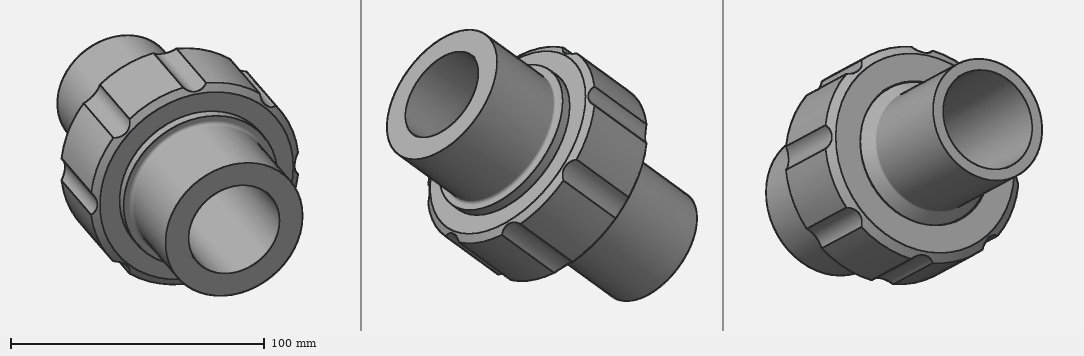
import cadquery as cq
import math

LENGTH = 122.9

NUT_START = 48.8
NUT_END = 84.0
NUT_RADIUS = 44.5
NUT_START_FACE_RADIUS = 40.9
NUT_END_FACE_RADIUS = 41.3
START_CHAMFER = 2.3
END_CHAMFER = 2.0
LIP_LENGTH = 6.5
LIP_BORE = 59.2 / 2
NUT_BORE = 63.2 / 2

GROOVE_COUNT = 8
GROOVE_RADIUS = 6.9
GROOVE_FLOOR = 42.2

TAIL_RADIUS = 50.0 / 2
TAIL_BORE = 40.8 / 2
TAIL_CONE_START = 44.3
TAIL_BLEND_LENGTH = 0.7
TAIL_BLEND_RISE = 0.31
TAIL_SHOULDER_RADIUS = 58.8 / 2
TAIL_CONE_END = 49.4
FLANGE_RADIUS = 62.5 / 2
FLANGE_LENGTH = 4.9
FLANGE_START = NUT_START + LIP_LENGTH
JOINT = FLANGE_START + FLANGE_LENGTH

END_RADIUS = 58.6 / 2
END_BORE = 38.8 / 2
COLLAR_RADIUS = 65.8 / 2
COLLAR_END = 88.1
COLLAR_BLEND_RADIUS = 1.5


def revolve_about_x(profile):
    """Turn a closed (x, radius) profile around the X axis."""
    return profile.close().revolve(360, (0, 0, 0), (1, 0, 0))


def make_tail_pipe():
    blend_end = TAIL_CONE_START + TAIL_BLEND_LENGTH
    blend_end_radius = TAIL_RADIUS + TAIL_BLEND_RISE
    profile = (
        cq.Workplane("XY")
        .moveTo(0, TAIL_BORE)
        .lineTo(0, TAIL_RADIUS)
        .lineTo(TAIL_CONE_START, TAIL_RADIUS)
        .tangentArcPoint((blend_end, blend_end_radius), relative=False)
        .lineTo(TAIL_CONE_END, TAIL_SHOULDER_RADIUS)
        .lineTo(FLANGE_START, TAIL_SHOULDER_RADIUS)
        .lineTo(FLANGE_START, FLANGE_RADIUS)
        .lineTo(JOINT, FLANGE_RADIUS)
        .lineTo(JOINT, TAIL_BORE)
    )
    return revolve_about_x(profile)


def make_end_pipe():
    profile = (
        cq.Workplane("XY")
        .moveTo(JOINT, END_BORE)
        .lineTo(JOINT, NUT_BORE)
        .lineTo(NUT_END, NUT_BORE)
        .lineTo(NUT_END, COLLAR_RADIUS)
        .lineTo(COLLAR_END, COLLAR_RADIUS)
        .lineTo(COLLAR_END, END_RADIUS + COLLAR_BLEND_RADIUS)
        .radiusArc((COLLAR_END + COLLAR_BLEND_RADIUS, END_RADIUS), -COLLAR_BLEND_RADIUS)
        .lineTo(LENGTH, END_RADIUS)
        .lineTo(LENGTH, END_BORE)
    )
    return revolve_about_x(profile)


def make_nut():
    profile = (
        cq.Workplane("XY")
        .moveTo(NUT_START, LIP_BORE)
        .lineTo(NUT_START, NUT_START_FACE_RADIUS)
        .lineTo(NUT_START + START_CHAMFER, NUT_RADIUS)
        .lineTo(NUT_END - END_CHAMFER, NUT_RADIUS)
        .lineTo(NUT_END, NUT_END_FACE_RADIUS)
        .lineTo(NUT_END, NUT_BORE)
        .lineTo(FLANGE_START, NUT_BORE)
        .lineTo(FLANGE_START, LIP_BORE)
    )
    nut = revolve_about_x(profile)

    groove_axis_radius = GROOVE_FLOOR + GROOVE_RADIUS
    for index in range(GROOVE_COUNT):
        angle = 2 * math.pi * index / GROOVE_COUNT
        groove = (
            cq.Workplane("YZ", origin=(NUT_START, 0, 0))
            .center(groove_axis_radius * math.cos(angle), groove_axis_radius * math.sin(angle))
            .circle(GROOVE_RADIUS)
            .extrude(NUT_END - NUT_START)
        )
        nut = nut.cut(groove)
    return nut


tail_pipe = make_tail_pipe()
end_pipe = make_end_pipe()
nut = make_nut()

result = cq.Compound.makeCompound([tail_pipe.val(), end_pipe.val(), nut.val()])